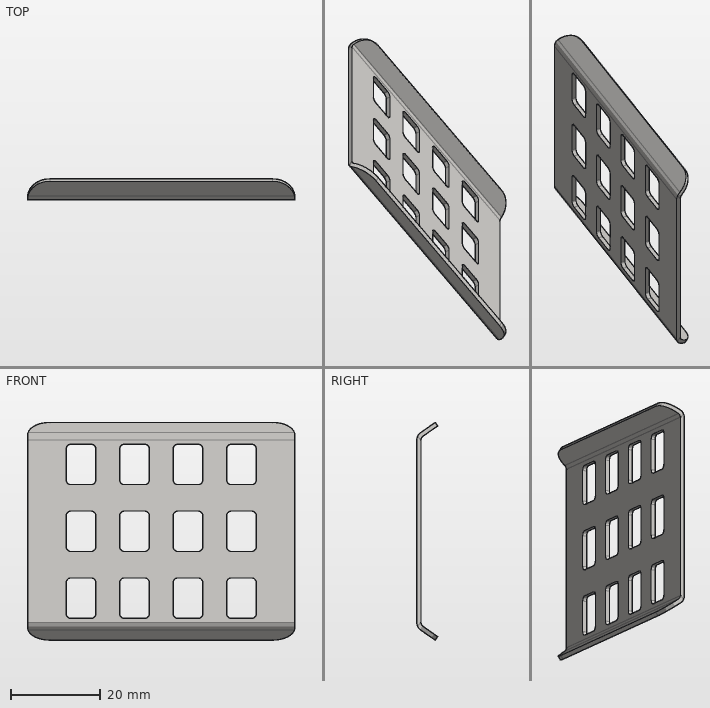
import cadquery as cq
import math

width = 60.0
thickness = 1.0
flat_height = 41.0
depth = 4.73

bend_angle = 55.0
inner_radius = 1.0
outer_radius = inner_radius + thickness
flange_corner_radius = 5.0

columns = 4
rows = 3
column_pitch = 12.0
row_pitch = 15.0
window_width = 6.6
window_height = 9.0
window_corner_radius = 1.0

bend_sin = math.sin(math.radians(bend_angle))
bend_cos = math.cos(math.radians(bend_angle))
bend_z = flat_height / 2
bend_center_y = thickness + inner_radius
flange_length = (depth - thickness - inner_radius * (1 - bend_cos)) / bend_sin


def bend_point(radius, angle):
    """Point (Y, Z) on the upper bend, at an angle in degrees from the web."""
    turn = math.radians(angle)
    return (bend_center_y - radius * math.cos(turn), bend_z + radius * math.sin(turn))


def along_flange(point):
    """Point (Y, Z) moved from the end of the bend to the flange edge."""
    return (point[0] + flange_length * bend_sin, point[1] + flange_length * bend_cos)


def make_web():
    return cq.Workplane("XY").box(width, thickness, flat_height, centered=(True, False, True))


def make_upper_flange():
    outer_end = bend_point(outer_radius, bend_angle)
    inner_end = bend_point(inner_radius, bend_angle)
    return (
        cq.Workplane("YZ", origin=(-width / 2, 0, 0))
        .moveTo(0, bend_z)
        .threePointArc(bend_point(outer_radius, bend_angle / 2), outer_end)
        .lineTo(*along_flange(outer_end))
        .lineTo(*along_flange(inner_end))
        .lineTo(*inner_end)
        .threePointArc(bend_point(inner_radius, bend_angle / 2), (thickness, bend_z))
        .close()
        .extrude(width)
    )


def round_flange_corners(flange):
    """Trim the flange to a round-cornered outline, square to its sloping face."""
    edge_y, edge_z = along_flange(bend_point(outer_radius, bend_angle))
    outline_height = 2 * (flange_length + outer_radius + flange_corner_radius)
    slope_plane = cq.Plane(
        origin=(0, edge_y, edge_z),
        xDir=(1, 0, 0),
        normal=(0, -bend_cos, bend_sin),
    )
    outline = (
        cq.Workplane(slope_plane)
        .center(0, -outline_height / 2)
        .rect(width, outline_height)
        .extrude(outer_radius + depth, both=True)
        .edges(cq.selectors.ParallelDirSelector(slope_plane.zDir))
        .fillet(flange_corner_radius)
    )
    return flange.intersect(outline)


def make_windows():
    return (
        cq.Workplane("XZ")
        .rarray(column_pitch, row_pitch, columns, rows)
        .rect(window_width, window_height)
        .extrude(-thickness)
        .edges("|Y")
        .fillet(window_corner_radius)
    )


upper_flange = round_flange_corners(make_upper_flange())
lower_flange = upper_flange.mirror("XY")
result = make_web().union(upper_flange).union(lower_flange).cut(make_windows())